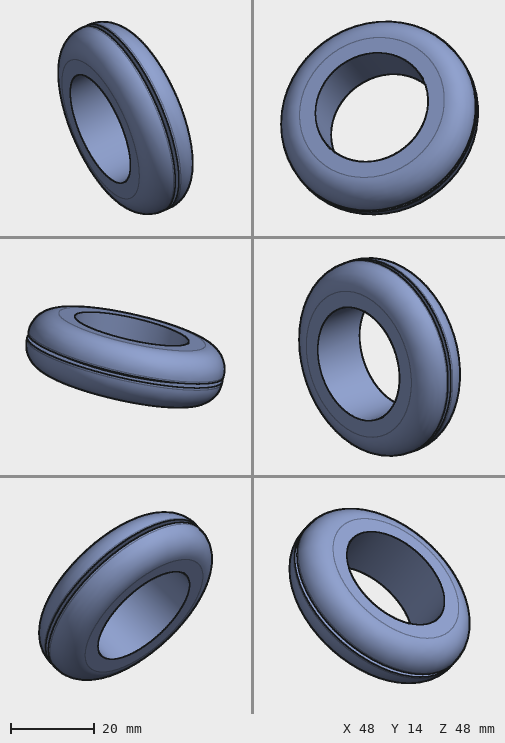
import cadquery as cq

outer_diameter = 48.0
thickness = 14.0
bore_diameter = 28.0
edge_radius = 6.0
groove_width = 1.0
groove_floor_diameter = 40.0


def ring(outside, inside, width):
    """Plain ring about the Y axis, centred on the origin."""
    return (
        cq.Workplane("XZ", origin=(0, width / 2, 0))
        .circle(outside / 2)
        .circle(inside / 2)
        .extrude(width)
    )


outer_rims = cq.selectors.RadiusNthSelector(-1)
body = (
    ring(outer_diameter, bore_diameter, thickness)
    .faces("<Y or >Y")
    .edges(outer_rims)
    .fillet(edge_radius)
)

groove = ring(outer_diameter + groove_width, groove_floor_diameter, groove_width)

result = body.cut(groove)